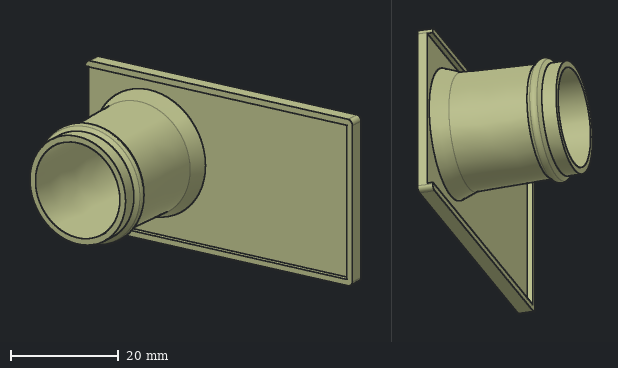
import cadquery as cq
import math

plate_length = 59.5
plate_height = 33.0
plate_thickness = 3.05
floor_thickness = 1.95
rim_width = 1.25
corner_radius = 1.0

spigot_x = 13.6
spigot_rise = 0.5
spigot_z = plate_height / 2 + spigot_rise
spigot_end = 26.25
flare_end = 5.35
flare_base_radius = 25.0 / 2
flare_top_radius = 22.5 / 2
neck_radius = 21.7 / 2
tip_radius = 21.35 / 2
bore_radius = 18.8 / 2
wall = tip_radius - bore_radius

bead_centre = 22.0
bead_half_width = 1.4
bead_arc_radius = 1.0
bead_peak_radius = 23.6 / 2
arc_half_width = bead_arc_radius * math.sin(math.radians(45))
arc_edge_radius = bead_peak_radius - (bead_arc_radius - arc_half_width)


def make_plate():
    """Rounded plate with a recess open at the left end, leaving a rim on three sides."""
    plate = (
        cq.Workplane("XY")
        .box(plate_length, plate_thickness, plate_height, centered=False)
        .translate((0, -plate_thickness, 0))
        .edges("|Y")
        .fillet(corner_radius)
    )
    recess = (
        cq.Workplane("XY")
        .box(
            plate_length - rim_width,
            plate_thickness - floor_thickness,
            plate_height - 2 * rim_width,
            centered=False,
        )
        .translate((0, -plate_thickness, rim_width))
    )
    return plate.cut(recess)


def revolve_about_spigot(profile):
    """Revolve a profile of (radius, -distance) about the spigot axis."""
    return profile.close().revolve(360, (0, 0), (0, 1)).translate((spigot_x, 0, spigot_z))


def make_spigot():
    """Solid flared spigot with its retaining bead."""
    profile = (
        cq.Workplane("XY")
        .moveTo(0, 0)
        .lineTo(flare_base_radius, 0)
        .lineTo(flare_base_radius, -floor_thickness)
        .lineTo(flare_top_radius, -flare_end)
        .lineTo(neck_radius, -(bead_centre - bead_half_width))
        .lineTo(arc_edge_radius, -(bead_centre - arc_half_width))
        .threePointArc(
            (bead_peak_radius, -bead_centre),
            (arc_edge_radius, -(bead_centre + arc_half_width)),
        )
        .lineTo(tip_radius, -(bead_centre + bead_half_width))
        .lineTo(tip_radius, -spigot_end)
        .lineTo(0, -spigot_end)
    )
    return revolve_about_spigot(profile)


def make_bore():
    """Through bore that widens from the tip towards the back of the plate."""
    profile = (
        cq.Workplane("XY")
        .moveTo(0, 0)
        .lineTo(flare_top_radius - wall, 0)
        .lineTo(bore_radius, -spigot_end)
        .lineTo(0, -spigot_end)
    )
    return revolve_about_spigot(profile)


result = make_plate().union(make_spigot()).cut(make_bore())